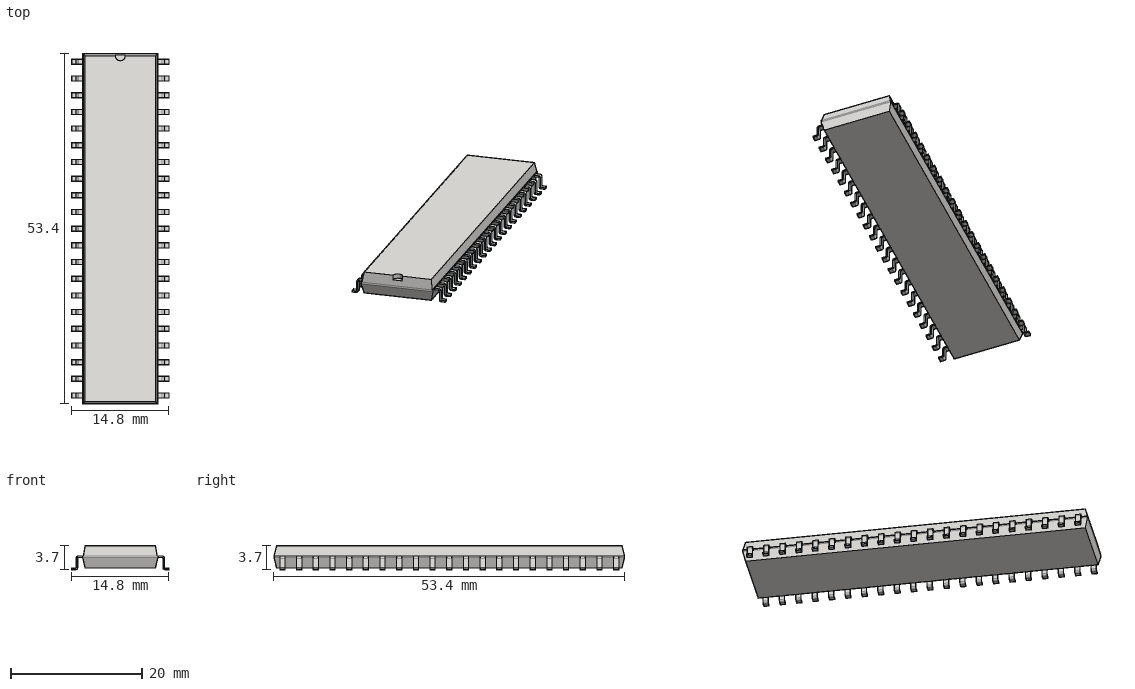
import cadquery as cq

body_width = 11.45
body_length = 53.35
body_top = 3.7
body_bottom = 0.25
parting_top = 2.15
face_inset = 0.4
side_ledge = 0.1

notch_radius = 0.75
notch_depth = 0.7

leads_per_side = 21
lead_row_span = 50.8
lead_pitch = lead_row_span / (leads_per_side - 1)
lead_width = 0.8
lead_thickness = 0.25
lead_span = 14.85
foot_length = 0.7
inner_bend = 0.1
outer_bend = inner_bend + lead_thickness
lead_embed = 0.55
lead_recess = 0.025
lead_top = parting_top - lead_recess
lead_bottom = lead_top - lead_thickness
leg_outer_x = lead_span / 2 - foot_length
leg_inner_x = leg_outer_x - lead_thickness

parting_bottom = lead_bottom


def drafted_half(parting_z, face_z, ledge):
    """Solid tapering from the parting outline, set in by the ledge in X, to the outer face."""
    return (
        cq.Workplane("XY", origin=(0, 0, parting_z))
        .rect(body_width - 2 * ledge, body_length)
        .workplane(offset=face_z - parting_z)
        .rect(body_width - 2 * face_inset, body_length - 2 * face_inset)
        .loft(ruled=True)
    )


def make_body():
    band = (
        cq.Workplane("XY", origin=(0, 0, parting_bottom))
        .rect(body_width, body_length)
        .extrude(parting_top - parting_bottom)
    )
    upper = drafted_half(parting_top, body_top, side_ledge)
    lower = drafted_half(parting_bottom, body_bottom, 0)
    return band.union(upper).union(lower)


def make_notch():
    return (
        cq.Workplane("XY", origin=(0, body_length / 2 - face_inset, body_top - notch_depth))
        .circle(notch_radius)
        .extrude(notch_depth)
    )


def make_lead():
    """One lead on the +X side, centred on Y = 0, with rounded bends."""
    root_x = body_width / 2 - lead_embed
    tip_x = lead_span / 2
    lead = (
        cq.Workplane("XZ", origin=(0, lead_width / 2, 0))
        .moveTo(root_x, lead_top)
        .lineTo(leg_outer_x, lead_top)
        .lineTo(leg_outer_x, lead_thickness)
        .lineTo(tip_x, lead_thickness)
        .lineTo(tip_x, 0)
        .lineTo(leg_inner_x, 0)
        .lineTo(leg_inner_x, lead_bottom)
        .lineTo(root_x, lead_bottom)
        .close()
        .extrude(lead_width)
    )

    def edge_at(x, z):
        return cq.selectors.NearestToPointSelector((x, 0, z))

    return (
        lead.edges(edge_at(leg_outer_x, lead_top)).fillet(outer_bend)
        .edges(edge_at(leg_inner_x, 0)).fillet(outer_bend)
        .edges(edge_at(leg_inner_x, lead_bottom)).fillet(inner_bend)
        .edges(edge_at(leg_outer_x, lead_thickness)).fillet(inner_bend)
    )


result = make_body().cut(make_notch())

right_lead = make_lead()
left_lead = right_lead.mirror("YZ")
for index in range(leads_per_side):
    lead_y = index * lead_pitch - lead_row_span / 2
    for lead in (right_lead, left_lead):
        result = result.union(lead.translate((0, lead_y, 0)))